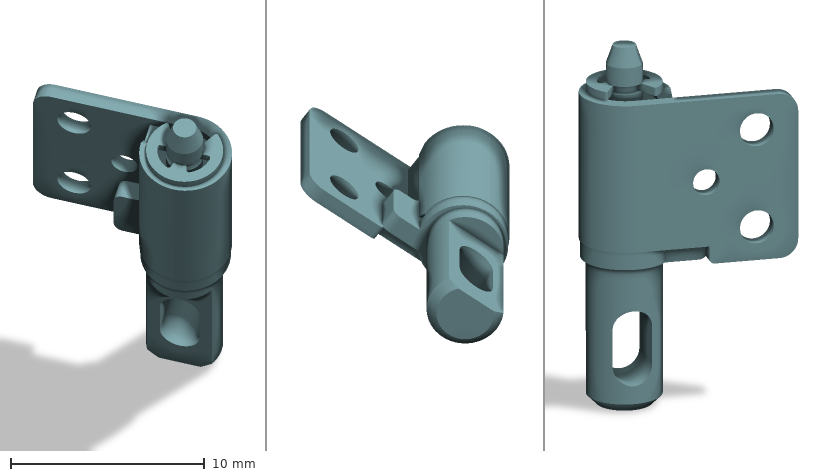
import cadquery as cq
import math

total_height = 19.5

barrel_radius = 2.4
leaf_thickness = 0.8
bore_radius = barrel_radius - leaf_thickness
leaf_left = -8.6
leaf_bottom = 8.03
leaf_top = 17.0
leaf_corner_radius = 1.0
curl_end_y = 0.57
curl_chamfer = 0.53
notch_x = -3.86
notch_corner_radius = 0.3
mount_hole_x = -6.4
mount_hole_levels = (9.85, 15.15)
mount_hole_radius = 0.9
small_hole_x = -3.7
small_hole_z = 12.52
small_hole_radius = 0.7

collar_radius = 2.34
collar_top = 8.99
core_top = leaf_top - curl_chamfer
tab_left = -4.0
tab_top = 11.04
tab_fillet = 0.49

shaft_y = -0.2
shaft_radius = 1.99
shaft_tip_chamfer = 0.5
flat_offset = 0.98
flat_top = 7.05
slot_width = 2.1
slot_bottom = 1.48
slot_top = 5.58
pin_radius = 0.95
pin_tip_radius = 0.6
pin_cone_start = 18.5
groove_radius = 0.7

clip_bottom = 17.05
clip_top = 17.5
clip_radius = shaft_radius
clip_pocket_radius = 1.4
clip_pocket_sweep = 70.0
clip_mouth_half_width = 0.43
clip_mouth_half_angle = 30.0
clip_corner_radius = 0.12


def cylinder(radius, bottom, top, y=0.0):
    """Vertical cylinder between two levels."""
    return cq.Workplane("XY", origin=(0, y, bottom)).circle(radius).extrude(top - bottom)


def block(x_range, y_range, z_range):
    """Axis-aligned box given by its limits."""
    sizes = [limits[1] - limits[0] for limits in (x_range, y_range, z_range)]
    corner = (x_range[0], y_range[0], z_range[0])
    return cq.Workplane("XY", origin=corner).box(*sizes, centered=False)


def plate_hole(x, z, radius):
    """Cutter for a round hole through the flat plate."""
    return (
        cq.Workplane("XZ", origin=(x, barrel_radius, z))
        .circle(radius)
        .extrude(leaf_thickness)
    )


def make_leaf():
    """Flat plate whose right side rolls around the barrel axis."""
    leaf = (
        cq.Workplane("XY", origin=(0, 0, leaf_bottom))
        .moveTo(leaf_left, barrel_radius)
        .lineTo(0, barrel_radius)
        .threePointArc((barrel_radius, 0), (0, -barrel_radius))
        .radiusArc((-barrel_radius, 0), barrel_radius)
        .lineTo(-barrel_radius, curl_end_y)
        .lineTo(-bore_radius, curl_end_y)
        .lineTo(-bore_radius, 0)
        .radiusArc((0, -bore_radius), -bore_radius)
        .threePointArc((bore_radius, 0), (0, bore_radius))
        .lineTo(leaf_left, bore_radius)
        .close()
        .extrude(leaf_top - leaf_bottom)
    )
    leaf = leaf.edges("|Y and <X").fillet(leaf_corner_radius)

    notch = block(
        (notch_x, barrel_radius),
        (-barrel_radius, barrel_radius),
        (leaf_bottom, collar_top),
    )
    leaf = leaf.cut(notch)
    plate_corner = cq.selectors.NearestToPointSelector(
        (notch_x, barrel_radius - leaf_thickness / 2, leaf_bottom)
    )
    leaf = leaf.edges(plate_corner).fillet(notch_corner_radius)

    for level, inward in ((leaf_top, -1), (collar_top, 1)):
        corner = (
            cq.Workplane("YZ", origin=(-barrel_radius, 0, 0))
            .moveTo(curl_end_y, level)
            .lineTo(curl_end_y - curl_chamfer, level)
            .lineTo(curl_end_y, level + inward * curl_chamfer)
            .close()
            .extrude(leaf_thickness)
        )
        leaf = leaf.cut(corner)

    for level in mount_hole_levels:
        leaf = leaf.cut(plate_hole(mount_hole_x, level, mount_hole_radius))
    return leaf.cut(plate_hole(small_hole_x, small_hole_z, small_hole_radius))


def make_core():
    """Filling of the barrel with its collar, block and tab."""
    core = cylinder(bore_radius, collar_top, core_top)
    core = core.union(block((-bore_radius, 0), (0, bore_radius), (collar_top, core_top)))
    core = core.union(cylinder(collar_radius, leaf_bottom, collar_top))
    collar_side = block((-collar_radius, 0), (0, bore_radius), (leaf_bottom, collar_top))
    core = core.union(collar_side)

    tab = (
        cq.Workplane("XZ", origin=(0, bore_radius, 0))
        .moveTo(tab_left, leaf_bottom)
        .lineTo(0, leaf_bottom)
        .lineTo(0, core_top)
        .lineTo(-collar_radius, core_top)
        .lineTo(-collar_radius, tab_top)
        .lineTo(tab_left, tab_top)
        .close()
        .extrude(bore_radius - curl_end_y)
    )
    tab = tab.edges("|Y and <X").fillet(tab_fillet)
    inner_corner = cq.selectors.NearestToPointSelector(
        (-collar_radius, (bore_radius + curl_end_y) / 2, tab_top)
    )
    tab = tab.edges(inner_corner).fillet(tab_fillet)
    return core.union(tab)


def make_lower_shaft():
    """Shaft end with a flat, a slot and a chamfered tip."""
    shaft = cylinder(shaft_radius, 0, leaf_bottom, shaft_y)
    shaft = shaft.faces("<Z").edges().chamfer(shaft_tip_chamfer)
    flat = block(
        (-shaft_radius, shaft_radius),
        (shaft_y - shaft_radius, shaft_y - flat_offset),
        (0, flat_top),
    )
    slot = (
        cq.Workplane("XZ", origin=(0, shaft_y, (slot_bottom + slot_top) / 2))
        .slot2D(slot_top - slot_bottom, slot_width, angle=90)
        .extrude(shaft_radius, both=True)
    )
    return shaft.cut(flat).cut(slot)


def make_pin():
    """Upper pin with the clip groove and a tapered tip."""
    return (
        cq.Workplane("XZ", origin=(0, shaft_y, 0))
        .moveTo(0, core_top)
        .lineTo(pin_radius, core_top)
        .lineTo(pin_radius, clip_bottom)
        .lineTo(groove_radius, clip_bottom)
        .lineTo(groove_radius, clip_top)
        .lineTo(pin_radius, clip_top)
        .lineTo(pin_radius, pin_cone_start)
        .lineTo(pin_tip_radius, total_height)
        .lineTo(0, total_height)
        .close()
        .revolve(360, (0, 0), (0, 1))
    )


def make_shaft():
    """Complete shaft: core, lower end and pin as one body."""
    return make_core().union(make_lower_shaft()).union(make_pin())


def clip_pocket():
    """Cutter for the left pocket beside the clip bore."""
    def polar(radius, angle):
        turn = math.radians(angle)
        return (radius * math.cos(turn), radius * math.sin(turn))

    start = 180.0
    middle = start + clip_pocket_sweep / 2
    end = start + clip_pocket_sweep
    pocket = (
        cq.Workplane("XY", origin=(0, shaft_y, clip_bottom))
        .lineTo(*polar(clip_pocket_radius, start))
        .threePointArc(polar(clip_pocket_radius, middle), polar(clip_pocket_radius, end))
        .close()
        .extrude(clip_top - clip_bottom)
    )
    outer_corners = pocket.edges("|Z").edges(cq.selectors.BoxSelector(
        (-clip_radius, shaft_y - clip_radius, clip_bottom),
        (-clip_corner_radius, shaft_y + clip_corner_radius, clip_top),
    ))
    return outer_corners.fillet(clip_corner_radius)


def make_clip():
    """E-shaped retaining ring seated in the pin groove."""
    clip = cylinder(clip_radius, clip_bottom, clip_top, shaft_y)
    mouth_spread = clip_radius * math.tan(math.radians(clip_mouth_half_angle))
    mouth_top_half_width = clip_mouth_half_width + mouth_spread
    mouth = (
        cq.Workplane("XY", origin=(0, shaft_y, clip_bottom))
        .moveTo(-clip_mouth_half_width, 0)
        .lineTo(clip_mouth_half_width, 0)
        .lineTo(mouth_top_half_width, clip_radius)
        .lineTo(-mouth_top_half_width, clip_radius)
        .close()
        .extrude(clip_top - clip_bottom)
    )
    clip = clip.cut(mouth)
    clip = clip.edges("|Z and >Y").fillet(clip_corner_radius)
    clip = clip.cut(cylinder(groove_radius, clip_bottom, clip_top, shaft_y))
    pocket = clip_pocket()
    return clip.cut(pocket).cut(pocket.mirror("YZ"))


leaf = make_leaf()
shaft = make_shaft()
clip = make_clip()

result = cq.Compound.makeCompound([leaf.val(), shaft.val(), clip.val()])